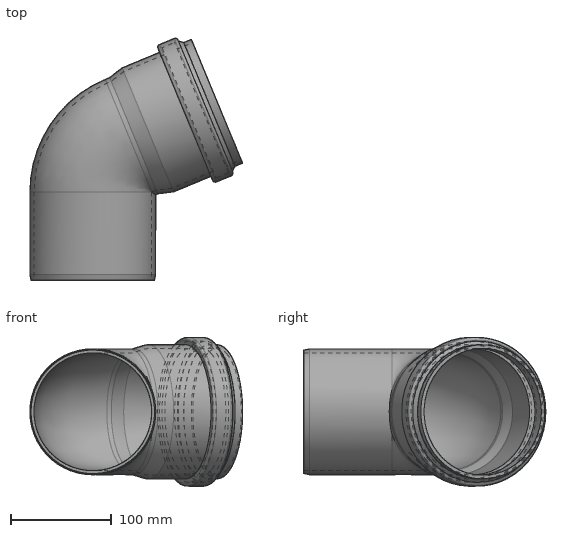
import cadquery as cq
import math

pipe_diameter = 125.0
bore_diameter = 116.8
spigot_length = 87.5
spigot_chamfer_length = 5.8
spigot_chamfer_depth = 1.2
bend_radius = 58.7
bend_angle = 67.5

socket_diameter = 133.5
socket_bore_diameter = 125.5
bead_diameter = 147.8
seal_groove_diameter = 140.1
lip_diameter = 133.2
lip_bore_diameter = 126.0

cone_start = 4.8
cone_end = 20.0
bead_start = 60.0
bead_end = 81.7
neck_end = 86.0
socket_length = 94.2
bead_round = 3.0

pipe_radius = pipe_diameter / 2
bore_radius = bore_diameter / 2
wall = pipe_radius - bore_radius

turn = math.radians(bend_angle)
socket_plane = cq.Plane(
    origin=(
        bend_radius * (1 - math.cos(turn)),
        spigot_length + bend_radius * math.sin(turn),
        0,
    ),
    xDir=(-math.cos(turn), math.sin(turn), 0),
    normal=(math.sin(turn), math.cos(turn), 0),
)
spigot_plane = cq.Plane(origin=(0, 0, 0), xDir=(-1, 0, 0), normal=(0, 1, 0))


def turned(plane, stations):
    """Solid of revolution about the plane normal, from (radius, height) pairs."""
    outline = [(0, stations[0][1])] + stations + [(0, stations[-1][1])]
    profile = cq.Workplane("XZ").polyline(outline).close()
    solid = profile.revolve(360, (0, 0, 0), (0, 1, 0)).val()
    return cq.Workplane(solid.moved(cq.Location(plane)))


def outer_elbow():
    """Revolved disc, trimmed at the bend axis so the inside of the bend cannot overlap itself.

    The arc is split at the outermost point of the bend to give two mirrored halves.
    """
    half_chord = math.sqrt(pipe_radius**2 - bend_radius**2)
    diagonal = pipe_radius * math.sqrt(0.5)
    section = (
        cq.Workplane("XZ", origin=(0, spigot_length, 0))
        .moveTo(bend_radius, half_chord)
        .threePointArc((-diagonal, diagonal), (-pipe_radius, 0))
        .threePointArc((-diagonal, -diagonal), (bend_radius, -half_chord))
        .close()
    )
    return section.revolve(bend_angle, (bend_radius, 0, 0), (bend_radius, -1, 0))


def inner_elbow():
    """Bore of the bend, which stays clear of the bend axis."""
    section = cq.Workplane("XZ", origin=(0, spigot_length, 0)).circle(bore_radius)
    return section.revolve(bend_angle, (bend_radius, 0, 0), (bend_radius, -1, 0))


def outer_body():
    spigot = turned(spigot_plane, [
        (pipe_radius - spigot_chamfer_depth, 0),
        (pipe_radius, spigot_chamfer_length),
        (pipe_radius, spigot_length),
    ])
    socket = turned(socket_plane, [
        (pipe_radius, 0),
        (pipe_radius, cone_start),
        (socket_diameter / 2, cone_end),
        (socket_diameter / 2, neck_end),
        (lip_diameter / 2, neck_end),
        (lip_diameter / 2, socket_length),
    ])
    return spigot.union(outer_elbow()).union(socket).union(seal_bead())


def seal_bead():
    bead = turned(socket_plane, [
        (bead_diameter / 2, bead_start),
        (bead_diameter / 2, bead_end),
    ])
    bead = bead.edges("%CIRCLE").fillet(bead_round)
    neck = turned(socket_plane, [
        (seal_groove_diameter / 2, bead_end),
        (lip_diameter / 2, neck_end),
    ])
    return bead.union(neck)


def inner_passage():
    spigot_bore = turned(spigot_plane, [(bore_radius, 0), (bore_radius, spigot_length)])
    socket_bore = turned(socket_plane, [
        (bore_radius, 0),
        (bore_radius, cone_start),
        (socket_bore_diameter / 2, cone_end),
        (socket_bore_diameter / 2, bead_start + wall),
        (seal_groove_diameter / 2, bead_start + wall),
        (seal_groove_diameter / 2, bead_end - wall),
        (lip_bore_diameter / 2, bead_end - wall),
        (lip_bore_diameter / 2, socket_length),
    ])
    return spigot_bore.union(inner_elbow()).union(socket_bore)


result = outer_body().cut(inner_passage())